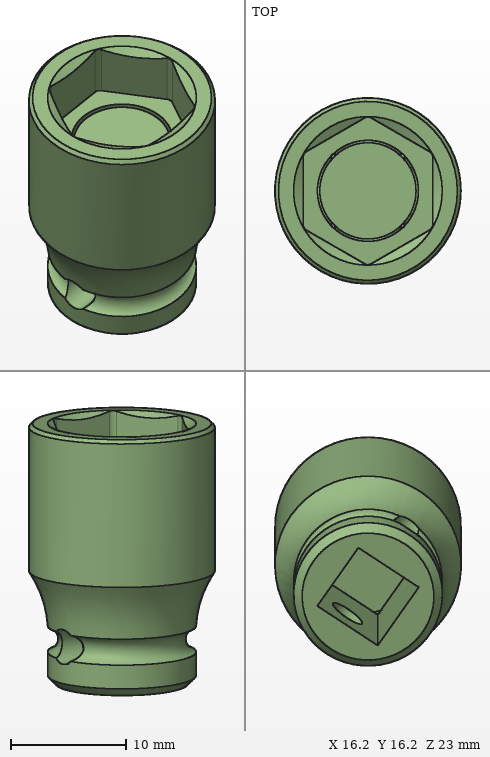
import cadquery as cq
import math

height = 23.0
body_radius = 8.1
top_chamfer = 0.32

neck_radius = 6.46
bottom_chamfer = 0.74
groove_center_z = 3.98
groove_half_width = 1.15
groove_root_radius = 5.57
flare_top_z = 10.0
flare_radius = 10.0
groove_bottom_z = groove_center_z - groove_half_width
groove_top_z = groove_center_z + groove_half_width

pin_hole_diameter = 3.08

hex_across_flats = 11.27
hex_depth = 5.0
hex_corner_fillet = 0.6
lead_in_radius = 6.46
lead_in_depth = 0.45
hex_floor_z = height - hex_depth
hex_corner_diameter = hex_across_flats / math.cos(math.pi / 6)

square_size = 6.35
square_depth = flare_top_z

magnet_radius = 4.19
magnet_clearance = 0.2
magnet_recess = 0.18
bore_radius = magnet_radius + magnet_clearance
magnet_height = hex_floor_z - magnet_recess - square_depth


def make_outer_body():
    """Revolved outside shape, drawn as radius against height."""
    profile = (
        cq.Workplane("XZ")
        .lineTo(neck_radius - bottom_chamfer, 0)
        .lineTo(neck_radius, bottom_chamfer)
        .lineTo(neck_radius, groove_bottom_z)
        .threePointArc((groove_root_radius, groove_center_z), (neck_radius, groove_top_z))
        .radiusArc((body_radius, flare_top_z), flare_radius)
        .lineTo(body_radius, height - top_chamfer)
        .lineTo(body_radius - top_chamfer, height)
        .lineTo(0, height)
        .close()
    )
    return profile.revolve(360, (0, 0, 0), (0, 1, 0))


def make_hex_opening():
    """Hexagon with rounded corners, two of them along Y, plus the lead-in cone."""
    floor = cq.Workplane("XY").workplane(offset=hex_floor_z)
    hexagon = floor.transformed(rotate=(0, 0, 90)).polygon(6, hex_corner_diameter).extrude(hex_depth)
    lead_in = (
        cq.Workplane("XY")
        .workplane(offset=height - lead_in_depth)
        .circle(hex_across_flats / 2)
        .workplane(offset=lead_in_depth)
        .circle(lead_in_radius)
        .loft(ruled=True)
    )
    return hexagon.edges("|Z").fillet(hex_corner_fillet).union(lead_in)


def make_magnet_bore():
    """Round bore from the top of the square drive up to the hexagon floor."""
    return (
        cq.Workplane("XY")
        .workplane(offset=square_depth)
        .circle(bore_radius)
        .extrude(hex_floor_z - square_depth)
    )


def make_square_drive():
    """Square recess rising from the bottom face."""
    return cq.Workplane("XY").rect(square_size, square_size).extrude(square_depth)


def make_pin_hole():
    """Cross hole along Y through both walls of the neck."""
    return (
        cq.Workplane("XZ")
        .center(0, groove_center_z)
        .circle(pin_hole_diameter / 2)
        .extrude(body_radius, both=True)
    )


def make_socket():
    return (
        make_outer_body()
        .cut(make_hex_opening())
        .cut(make_magnet_bore())
        .cut(make_square_drive())
        .cut(make_pin_hole())
    )


def make_magnet():
    """Cylinder resting on the shoulder around the square drive."""
    return cq.Workplane("XY").workplane(offset=square_depth).circle(magnet_radius).extrude(magnet_height)


socket = make_socket()
magnet = make_magnet()

result = cq.Compound.makeCompound([socket.val(), magnet.val()])